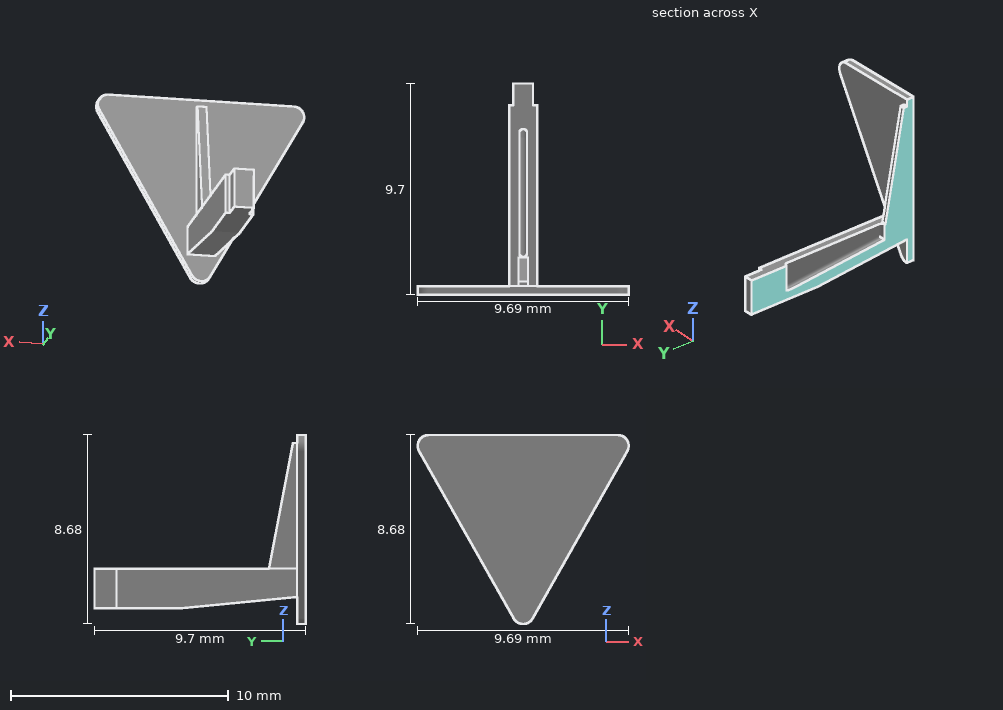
import cadquery as cq
import math

plate_width = 9.69
plate_height = 8.68
plate_thickness = 0.4
corner_radius = 0.5

overall_length = 9.7
tip_length = 1.0
tip_width = 0.92
arm_width = 1.3
arm_top = 2.55
arm_height = 1.83
arm_front_height = 1.27
taper_length = 5.75
arm_length = overall_length - tip_length
arm_bottom = arm_top - arm_height
taper_slope = (arm_height - arm_front_height) / taper_length

rib_width = 0.42
rib_foot_length = 1.3
rib_top_length = 0.2
rib_height = 5.77

slot_width = 0.36
slot_start = 1.74
slot_end_margin = 1.1
slot_flat_length = 0.4
slot_floor_thickness = 0.5
slot_edge_radius = 0.17
slot_end = arm_length - slot_end_margin
slot_floor = arm_bottom + slot_floor_thickness


def side_profile(points, width):
    """Prism with the given (Y, Z) outline, centred on X = 0."""
    return cq.Workplane("YZ").polyline(points).close().extrude(width / 2, both=True)


def make_plate():
    """Triangle with one corner down, its three corners rounded by arcs."""
    upper_x = plate_width / 2 - corner_radius
    upper_z = plate_height - corner_radius
    lower_z = corner_radius
    edge_normal = math.atan2(-upper_x, upper_z - lower_z)
    normal_x = corner_radius * math.cos(edge_normal)
    normal_z = corner_radius * math.sin(edge_normal)
    middle = (edge_normal + math.pi / 2) / 2
    middle_x = corner_radius * math.cos(middle)
    middle_z = corner_radius * math.sin(middle)
    return (
        cq.Workplane("XZ")
        .moveTo(-upper_x, plate_height)
        .lineTo(upper_x, plate_height)
        .threePointArc((upper_x + middle_x, upper_z + middle_z), (upper_x + normal_x, upper_z + normal_z))
        .lineTo(normal_x, lower_z + normal_z)
        .threePointArc((0, 0), (-normal_x, lower_z + normal_z))
        .lineTo(-upper_x - normal_x, upper_z + normal_z)
        .threePointArc((-upper_x - middle_x, upper_z + middle_z), (-upper_x, plate_height))
        .close()
        .extrude(-plate_thickness)
    )


def make_arm():
    """Arm with its tapered underside, passing through to the front of the plate."""
    return side_profile(
        [
            (0, arm_top),
            (arm_length, arm_top),
            (arm_length, arm_bottom),
            (taper_length, arm_bottom),
            (0, arm_top - arm_front_height),
        ],
        arm_width,
    )


def make_tip():
    """Narrower block on the free end of the arm, of the same height."""
    return side_profile(
        [
            (arm_length, arm_bottom),
            (overall_length, arm_bottom),
            (overall_length, arm_top),
            (arm_length, arm_top),
        ],
        tip_width,
    )


def make_rib():
    """Tapering rib in the corner between the arm and the plate."""
    rib_top = arm_top + rib_height
    return side_profile(
        [
            (plate_thickness, arm_top),
            (plate_thickness + rib_foot_length, arm_top),
            (plate_thickness + rib_top_length, rib_top),
            (plate_thickness, rib_top),
        ],
        rib_width,
    )


def make_slot():
    """Slot cutter: prism with a rounded floor, trimmed to a round-ended outline."""
    kink_y = slot_end - slot_flat_length
    near_floor = slot_floor + taper_slope * kink_y
    channel = (
        side_profile(
            [
                (0, arm_top),
                (arm_length, arm_top),
                (arm_length, slot_floor),
                (kink_y, slot_floor),
                (0, near_floor),
            ],
            slot_width,
        )
        .faces("not (|X or |Y or >Z)")
        .edges("not |X")
        .fillet(slot_edge_radius)
    )
    outline = (
        cq.Workplane("XY", origin=(0, (slot_start + slot_end) / 2, arm_bottom))
        .rect(slot_width, slot_end - slot_start)
        .extrude(arm_height)
        .edges("|Z")
        .fillet(slot_edge_radius)
    )
    return channel.intersect(outline)


result = (
    make_plate()
    .union(make_arm(), clean=False)
    .union(make_tip(), clean=False)
    .union(make_rib(), clean=False)
    .cut(make_slot(), clean=False)
)